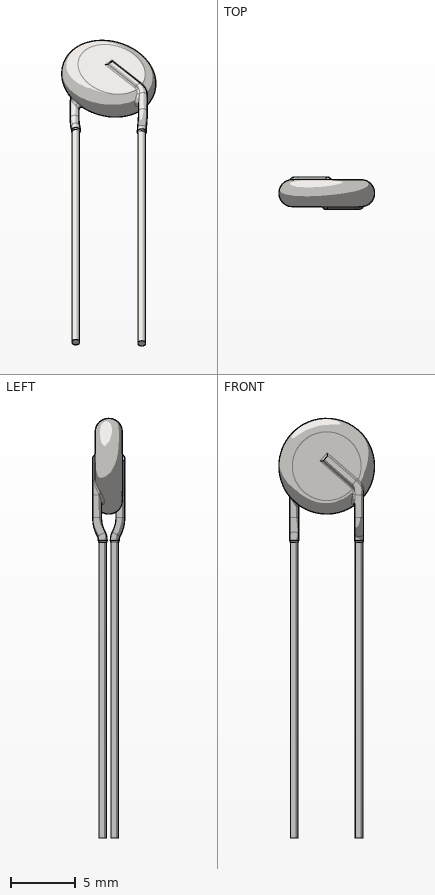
import cadquery as cq
import math

disc_diameter = 7.4
disc_thickness = 2.1
disc_radius = disc_diameter / 2
face_y = disc_thickness / 2
rim_radius = disc_thickness / 2
flat_radius = disc_radius - rim_radius

overall_depth = 2.5
overall_height = 32.38
lead_pitch = 5.0
lead_diameter = 0.6
coated_diameter = 0.7
lead_x = lead_pitch / 2
lead_bottom_z = disc_radius - overall_height
coated_y = (overall_depth - coated_diameter) / 2

diagonal_angle = math.radians(41)
diagonal_end_x = -0.1
diagonal_end_z = 0.6
elbow_radius = 1.2
seam_fillet_radius = 0.18

bend_start_z = -3.96
bend_angle = math.radians(28.5)
upper_bend_radius = 2.7
lower_bend_radius = 0.9

collar_length = 0.2
collar_taper_length = 0.15

tolerance = 1e-3


def make_disc():
    return (
        cq.Workplane("XY")
        .moveTo(0, -face_y)
        .lineTo(flat_radius, -face_y)
        .threePointArc((disc_radius, 0), (flat_radius, face_y))
        .lineTo(0, face_y)
        .close()
        .revolve(360, (0, 0, 0), (0, 1, 0))
    )


def make_front_wire():
    """Wire on the -Y face: diagonal, elbow at +X, double bend, collar and bare lead."""
    wire_y = -coated_y

    corner_z = diagonal_end_z - (lead_x - diagonal_end_x) * math.tan(diagonal_angle)
    elbow_turn = math.pi / 2 - diagonal_angle
    tangent_length = elbow_radius * math.tan(elbow_turn / 2)
    diagonal_direction = cq.Vector(math.cos(diagonal_angle), 0, -math.sin(diagonal_angle))
    down = cq.Vector(0, 0, -1)
    corner = cq.Vector(lead_x, wire_y, corner_z)
    diagonal_end = cq.Vector(diagonal_end_x, wire_y, diagonal_end_z)
    elbow_top = corner - diagonal_direction * tangent_length
    elbow_bottom = corner + down * tangent_length

    drop_factor = math.sin(bend_angle)
    shift_factor = 1 - math.cos(bend_angle)
    bend_step = cq.Vector(0, shift_factor, -drop_factor)
    bend_direction = cq.Vector(0, math.sin(bend_angle), -math.cos(bend_angle))
    bend_start = cq.Vector(lead_x, wire_y, bend_start_z)
    bend_middle = bend_start + bend_step * upper_bend_radius
    bend_end = bend_middle + bend_step * lower_bend_radius

    path = cq.Wire.assembleEdges(
        [
            cq.Edge.makeLine(diagonal_end, elbow_top),
            cq.Edge.makeTangentArc(elbow_top, diagonal_direction, elbow_bottom),
            cq.Edge.makeLine(elbow_bottom, bend_start),
            cq.Edge.makeTangentArc(bend_start, down, bend_middle),
            cq.Edge.makeTangentArc(bend_middle, bend_direction, bend_end),
        ]
    )
    end_plane = cq.Plane(diagonal_end, xDir=(0, 1, 0), normal=diagonal_direction)
    coated = cq.Workplane(end_plane).circle(coated_diameter / 2).sweep(path)

    collar_taper_width = (coated_diameter - lead_diameter) / 2
    collar = (
        cq.Workplane("XY", origin=bend_end)
        .circle(coated_diameter / 2)
        .extrude(-collar_length)
        .faces("<Z")
        .chamfer(collar_taper_length, collar_taper_width)
    )
    lead = (
        cq.Workplane("XY", origin=(lead_x, bend_end.y, lead_bottom_z))
        .circle(lead_diameter / 2)
        .extrude(bend_end.z - lead_bottom_z)
    )
    return coated.union(collar).union(lead)


def is_seam(edge):
    """True for an edge where a wire meets the disc surface."""
    middle = edge.positionAt(0.5)
    radius = math.hypot(middle.x, middle.z)
    depth = abs(middle.y)
    if radius < flat_radius - tolerance:
        return abs(depth - face_y) < tolerance
    if radius < flat_radius + tolerance or radius > disc_radius - tolerance:
        return False
    rim_distance = math.hypot(radius - flat_radius, depth)
    return abs(rim_distance - rim_radius) < tolerance


def fillet_seams(body):
    seams = [edge for edge in body.edges().vals() if is_seam(edge)]
    return body.newObject(seams).fillet(seam_fillet_radius)


front_wire = make_front_wire()
back_wire = front_wire.rotate((0, 0, 0), (0, 0, 1), 180)
result = fillet_seams(make_disc().union(front_wire).union(back_wire))